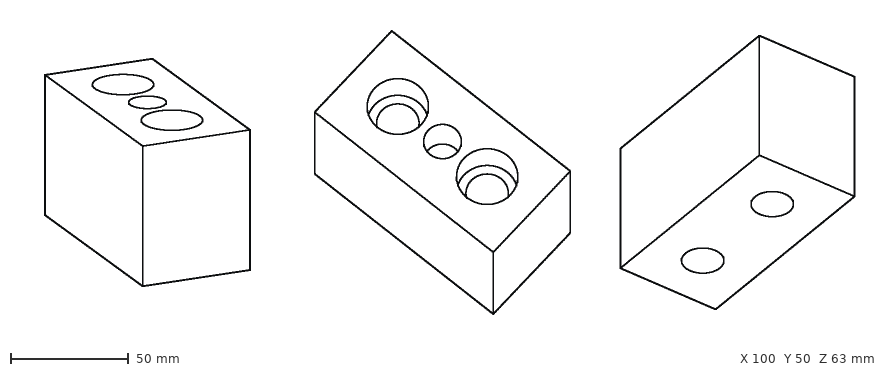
import cadquery as cq

length = 100
width = 50
height = 63

hole_spacing = 50
bore_diameter = 18
counterbore_diameter = 26
counterbore_depth = 17

blind_diameter = 16
blind_depth = 20

block = cq.Workplane("XY").box(length, width, height)

counterbored = (
    block.faces(">Z").workplane()
    .rarray(hole_spacing, 1, 2, 1)
    .cboreHole(bore_diameter, counterbore_diameter, counterbore_depth)
)

result = counterbored.faces(">Z").workplane(origin=(0, 0, 0)).hole(blind_diameter, blind_depth)